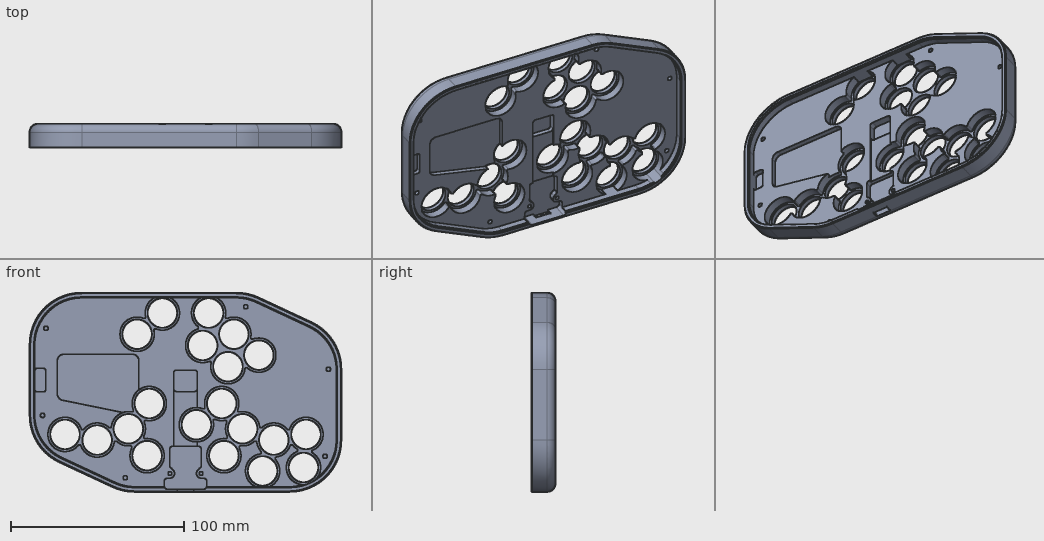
import cadquery as cq
import math


def neighbour_pairs(points, limit):
    """All pairs of points that lie closer together than the limit."""
    pairs = []
    for i, first in enumerate(points):
        for second in points[i + 1:]:
            if math.dist(first, second) < limit:
                pairs.append((first, second))
    return pairs


LENGTH = 180.0
HEIGHT = 115.0
THICKNESS = 14.0
FRONT_Y = -THICKNESS / 2

SLICE_START = 36.0
SLICE_ANGLE = 25.0
CORNER_RADIUS = 30.0
BACK_FILLET = 5.0
RIM_CHAMFER = 0.5

WALL = 3.0
LIP = 2.5
LIP_DEPTH = 1.5
CAVITY_DEPTH = 5.5
FLOOR_Y = FRONT_Y + CAVITY_DEPTH

BUTTON_HOLE_RADIUS = 8.5
BUTTON_RECESS_RADIUS = 9.9
BUTTON_RECESS_DEPTH = 5.4
WEB_FILLET = 0.9

MIRRORED_BUTTONS = [
    (13.3, 45.7),
    (27.9, 33.5),
    (20.9, -6.5),
    (33.0, -21.0),
    (51.0, -27.5),
    (69.5, -24.3),
    (22.1, -36.5),
]
CORNER_BUTTON = (68.0, -43.4)
RIGHT_BUTTONS = [
    (9.9, 27.0),
    (42.3, 21.5),
    (24.5, 14.8),
    (6.3, -18.7),
    (44.5, -45.4),
    CORNER_BUTTON,
]
BUTTONS = MIRRORED_BUTTONS + [(-x, z) for x, z in MIRRORED_BUTTONS] + RIGHT_BUTTONS

SCREW_RADIUS = 1.3
SCREW_DEPTH = 5.0
SCREWS_ONE_SIDE = [
    (34.7, 49.3),
    (82.5, 13.3),
    (80.5, -36.9),
]

POCKET_LEFT = -74.0
POCKET_RIGHT = -26.8
POCKET_TOP = 22.0
POCKET_LEFT_BOTTOM = -4.0
POCKET_SLOPE = 11.5
POCKET_FILLET = 4.0
POCKET_DEPTH = 3.0

SIDE_POCKET_RIGHT = -80.6
SIDE_POCKET_CENTRE_Z = 7.0
SIDE_POCKET_HEIGHT = 13.7
SIDE_POCKET_FILLET = 1.5
SIDE_POCKET_DEPTH = 3.0

CHANNEL_WIDTH = 13.7
CHANNEL_TOP = 12.8
CHANNEL_STEP_Z = 0.4
CHANNEL_FILLET = 1.8
CHANNEL_DEPTH = 1.3
CHANNEL_END_DEPTH = 4.3

BOARD_WIDTH = 18.0
BOARD_TOP = -31.1
BOARD_FILLET = 1.5
BOARD_DEPTH = 3.6
BOSS_X = BOARD_WIDTH / 2
BOSS_Z = -46.8
BOSS_RADIUS = 2.7
BOSS_HOLE_RADIUS = 1.0
PLUG_WIDTH = 24.5
PLUG_BOTTOM = -56.0
PLUG_FILLET = 2.0
PORT_WIDTH = 9.4
PORT_HEIGHT = 3.6


def plane_at(y):
    """An XZ sketch plane at the given depth; negative extrusions run towards +Y."""
    return cq.Workplane("XZ", origin=(0, y, 0))


def cylinders(centres, radius, start_y, depth):
    """Round bars running from start_y towards +Y."""
    return plane_at(start_y).pushPoints(centres).circle(radius).extrude(-depth)


def outline_prism(inset, start_y, depth):
    """The tray outline, moved inwards by inset and extruded towards +Y."""
    half_x = LENGTH / 2
    half_z = HEIGHT / 2
    slice_drop = (half_x - SLICE_START) * math.tan(math.radians(SLICE_ANGLE))
    slice_end = half_z - slice_drop
    corners = [
        (-half_x, half_z),
        (SLICE_START, half_z),
        (half_x, slice_end),
        (half_x, -half_z),
        (-SLICE_START, -half_z),
        (-half_x, -slice_end),
    ]
    prism = plane_at(start_y).polyline(corners).close().extrude(-depth)
    prism = prism.edges("|Y").fillet(CORNER_RADIUS)
    if inset:
        prism = prism.faces("<Y").wires().toPending().workplane(origin=(0, start_y, 0))
        prism = prism.offset2D(-inset).extrude(-depth, combine=False)
    return prism


def body():
    shell = outline_prism(0, FRONT_Y, THICKNESS)
    shell = shell.faces(">Y").edges().fillet(BACK_FILLET)
    shell = shell.faces("<Y").edges().chamfer(RIM_CHAMFER)
    shell = shell.cut(outline_prism(WALL, FRONT_Y, CAVITY_DEPTH))
    return shell.cut(outline_prism(LIP, FRONT_Y, LIP_DEPTH))


def web(first, second):
    """Opening between two neighbouring recesses, rounded where their edges meet."""
    dx = second[0] - first[0]
    dz = second[1] - first[1]
    spacing = math.hypot(dx, dz)
    reach = math.sqrt((BUTTON_RECESS_RADIUS + WEB_FILLET) ** 2 - (spacing / 2) ** 2)
    mid_x = (first[0] + second[0]) / 2
    mid_z = (first[1] + second[1]) / 2
    side_x = -dz / spacing * reach
    side_z = dx / spacing * reach
    tips = [(mid_x + side_x, mid_z + side_z), (mid_x - side_x, mid_z - side_z)]
    kite = plane_at(FLOOR_Y).polyline([first, tips[0], second, tips[1]]).close()
    opening = kite.extrude(-BUTTON_RECESS_DEPTH)
    return opening.cut(cylinders(tips, WEB_FILLET, FLOOR_Y, BUTTON_RECESS_DEPTH))


def button_recesses():
    """Round recesses and the openings between neighbours, all ending at the cavity wall."""
    pieces = []
    for centre in BUTTONS:
        pieces.append(cylinders([centre], BUTTON_RECESS_RADIUS, FLOOR_Y, BUTTON_RECESS_DEPTH))
    pairs = neighbour_pairs(BUTTONS, 2 * BUTTON_RECESS_RADIUS)
    for first, second in pairs:
        pieces.append(web(first, second))
    for first, second in pairs:
        for third in BUTTONS:
            if (first, third) in pairs and (second, third) in pairs:
                triangle = plane_at(FLOOR_Y).polyline([first, second, third]).close()
                pieces.append(triangle.extrude(-BUTTON_RECESS_DEPTH))
    recesses = pieces[0]
    for piece in pieces[1:]:
        recesses = recesses.union(piece)
    return recesses.intersect(outline_prism(WALL, FRONT_Y, THICKNESS))


def corner_clearance():
    """The recess nearest the lower right corner also bites into the cavity wall, up to the lip."""
    depth = CAVITY_DEPTH - LIP_DEPTH + BUTTON_RECESS_DEPTH
    bite = cylinders([CORNER_BUTTON], BUTTON_RECESS_RADIUS, FRONT_Y + LIP_DEPTH, depth)
    return bite.intersect(outline_prism(LIP, FRONT_Y, THICKNESS))


def sloped_pocket():
    drop = (POCKET_RIGHT - POCKET_LEFT) * math.tan(math.radians(POCKET_SLOPE))
    corners = [
        (POCKET_LEFT, POCKET_TOP),
        (POCKET_RIGHT, POCKET_TOP),
        (POCKET_RIGHT, POCKET_LEFT_BOTTOM - drop),
        (POCKET_LEFT, POCKET_LEFT_BOTTOM),
    ]
    pocket = plane_at(FLOOR_Y).polyline(corners).close().extrude(-POCKET_DEPTH)
    return pocket.edges("|Y and (<X or >Z)").fillet(POCKET_FILLET)


def box_pocket(left, right, bottom, top, depth, start_y=FLOOR_Y):
    """A rectangular block running from start_y towards +Y."""
    centre = ((left + right) / 2, (bottom + top) / 2)
    return plane_at(start_y).center(*centre).rect(right - left, top - bottom).extrude(-depth)


def side_pocket():
    bottom = SIDE_POCKET_CENTRE_Z - SIDE_POCKET_HEIGHT / 2
    top = SIDE_POCKET_CENTRE_Z + SIDE_POCKET_HEIGHT / 2
    pocket = box_pocket(WALL - LENGTH / 2, SIDE_POCKET_RIGHT, bottom, top, SIDE_POCKET_DEPTH)
    return pocket.edges("|Y").fillet(SIDE_POCKET_FILLET)


def cable_channel():
    half = CHANNEL_WIDTH / 2
    channel = box_pocket(-half, half, BOARD_TOP, CHANNEL_TOP, CHANNEL_DEPTH)
    channel = channel.edges("|Y and >Z").fillet(CHANNEL_FILLET)
    deep_end = box_pocket(-half, half, CHANNEL_STEP_Z, CHANNEL_TOP, CHANNEL_END_DEPTH)
    return channel.union(deep_end.edges("|Y").fillet(CHANNEL_FILLET))


def board_pocket():
    half_board = BOARD_WIDTH / 2
    half_plug = PLUG_WIDTH / 2
    plug_top = BOSS_Z - BOSS_RADIUS
    floor_depth = CAVITY_DEPTH + BOARD_DEPTH

    board = box_pocket(-half_board, half_board, plug_top, BOARD_TOP, BOARD_DEPTH)
    board = board.edges("|Y and >Z").fillet(BOARD_FILLET)
    flank = BOSS_RADIUS * math.sqrt(2)
    for side in (-1, 1):
        centre = (side * BOSS_X, BOSS_Z)
        board = board.cut(cylinders([centre], BOSS_RADIUS, FLOOR_Y, BOARD_DEPTH))
        tangent = (side * (BOSS_X - flank / 2), BOSS_Z + flank / 2)
        wedge = [centre, (side * BOSS_X, BOSS_Z + flank), tangent]
        board = board.cut(plane_at(FLOOR_Y).polyline(wedge).close().extrude(-BOARD_DEPTH))

    plug = box_pocket(-half_plug, half_plug, PLUG_BOTTOM, plug_top, floor_depth, FRONT_Y)
    plug = plug.edges("|Y").fillet(PLUG_FILLET)
    return board.union(plug)


def connector_port():
    """Slot through the thin wall below the board pocket, level with the pocket floor."""
    floor_y = FLOOR_Y + BOARD_DEPTH
    half = PORT_WIDTH / 2
    return box_pocket(-half, half, -HEIGHT / 2, PLUG_BOTTOM, PORT_HEIGHT, floor_y - PORT_HEIGHT)


def screw_holes():
    screws = SCREWS_ONE_SIDE + [(-x, -z) for x, z in SCREWS_ONE_SIDE]
    return cylinders(screws, SCREW_RADIUS, FLOOR_Y, SCREW_DEPTH)


def boss_holes():
    return cylinders([(-BOSS_X, BOSS_Z), (BOSS_X, BOSS_Z)], BOSS_HOLE_RADIUS, FLOOR_Y, SCREW_DEPTH)


result = body()
result = result.cut(button_recesses())
result = result.cut(cylinders(BUTTONS, BUTTON_HOLE_RADIUS, FRONT_Y, THICKNESS))
for cutter in (
    corner_clearance,
    sloped_pocket,
    side_pocket,
    cable_channel,
    board_pocket,
    connector_port,
    screw_holes,
    boss_holes,
):
    result = result.cut(cutter())